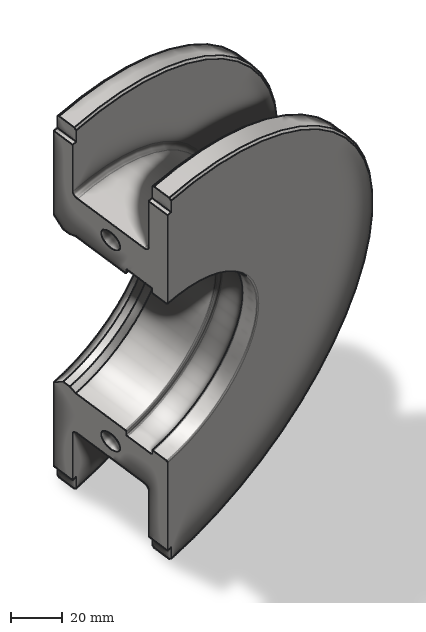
import cadquery as cq

width = 60.0
half_width = width / 2

outer_radius = 118.5
flange_thickness = 10.0
flange_chamfer = 1.0

channel_radius = 77.0
channel_fillet = 2.5
channel_half_width = half_width - flange_thickness

relief_radius = 110.0
relief_depth = 2.0

bore_radius = 51.5
lip_radius = 50.0
entry_chamfer = 5.0
bore_edge_radius = 0.6
lip_end = 8.5
taper_end = 11.6

groove_radius = 54.5
groove_start = 38.2
groove_end = 51.8

dowel_diameter = 10.0
dowel_depth = 20.0
dowel_offset = 66.0


def flange_tip(sketch, x_first, x_last):
    """Draw across a flange rim from one side face to the other, chamfering both corners."""
    rim_foot = outer_radius - flange_chamfer
    return (
        sketch.lineTo(x_first, rim_foot)
        .lineTo(x_first + flange_chamfer, outer_radius)
        .lineTo(x_last - flange_chamfer, outer_radius)
        .lineTo(x_last, rim_foot)
    )


def seal_groove(sketch, x_start, x_end):
    """Draw the seal groove from its +X side to its -X side, rounding every corner."""
    edge = bore_edge_radius
    lip_top = bore_radius + edge
    floor_foot = groove_radius - edge
    return (
        sketch.lineTo(x_end + edge, bore_radius)
        .radiusArc((x_end, lip_top), edge)
        .lineTo(x_end, floor_foot)
        .radiusArc((x_end - edge, groove_radius), -edge)
        .lineTo(x_start + edge, groove_radius)
        .radiusArc((x_start, floor_foot), -edge)
        .lineTo(x_start, lip_top)
        .radiusArc((x_start - edge, bore_radius), edge)
    )


def ring_half():
    """Revolve the cross-section about X and keep the half on the +Y side."""
    left = -half_width
    fillet_top = channel_radius + channel_fillet
    floor_half_width = channel_half_width - channel_fillet

    outline = cq.Workplane("XY").moveTo(left, lip_radius + entry_chamfer)
    outline = flange_tip(outline, left, -channel_half_width)
    outline = (
        outline.lineTo(-channel_half_width, fillet_top)
        .radiusArc((-floor_half_width, channel_radius), -channel_fillet)
        .lineTo(floor_half_width, channel_radius)
        .radiusArc((channel_half_width, fillet_top), -channel_fillet)
    )
    outline = flange_tip(outline, channel_half_width, half_width)
    outline = (
        outline.lineTo(half_width, bore_radius + bore_edge_radius)
        .radiusArc((half_width - bore_edge_radius, bore_radius), bore_edge_radius)
    )
    outline = seal_groove(outline, left + groove_start, left + groove_end)
    outline = (
        outline.lineTo(left + taper_end, bore_radius)
        .lineTo(left + lip_end, lip_radius)
        .lineTo(left + entry_chamfer, lip_radius)
        .close()
    )
    full_ring = outline.revolve(360, (0, 0, 0), (1, 0, 0))
    kept_side = cq.Workplane("XY").box(width, outer_radius, 2 * outer_radius, centered=(True, False, True))
    return full_ring.intersect(kept_side)


def end_relief(side):
    """Block that steps the flange ends back from the split plane at one end of the ring."""
    height = outer_radius - relief_radius
    mid_height = side * (relief_radius + height / 2)
    block = cq.Workplane("XY").box(width, relief_depth, height, centered=(True, False, True))
    return block.translate((0, 0, mid_height))


def dowel_hole(side):
    """Blind hole drilled along +Y into one split face."""
    axis_start = cq.Vector(0, 0, side * dowel_offset)
    drill = cq.Solid.makeCylinder(dowel_diameter / 2, dowel_depth, axis_start, cq.Vector(0, 1, 0))
    return cq.Workplane(obj=drill)


result = ring_half()
for end in (1, -1):
    result = result.cut(end_relief(end)).cut(dowel_hole(end))